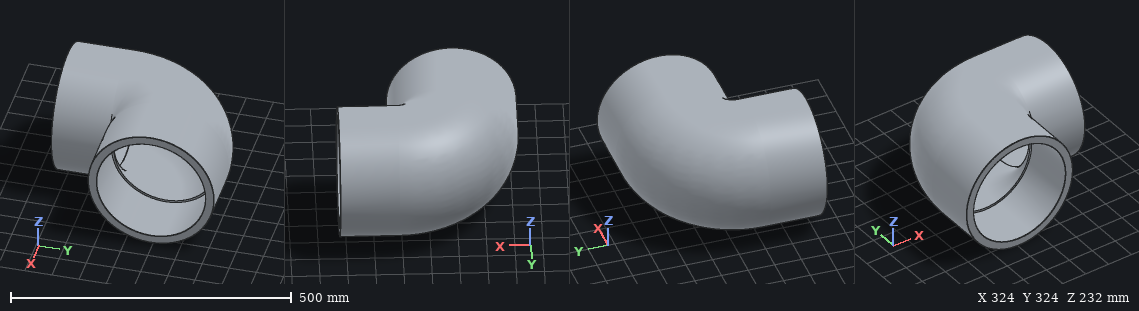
import cadquery as cq

overall_length = 324.0
outer_diameter = 232.0
socket_length = 106.2
socket_diameter = 200.0
socket_depth = 104.3
bore_diameter = 192.5
rim_chamfer = 0.5

outer_radius = outer_diameter / 2
bend_outer_radius = overall_length - socket_length
bend_radius = bend_outer_radius - outer_radius

end_distance = overall_length - outer_radius


def leg_pair(diameter, length):
    """Return two cylinders that run inward from the open ends."""
    x_leg = cq.Workplane("YZ", origin=(end_distance, 0, 0)).circle(diameter / 2).extrude(-length)
    y_leg = cq.Workplane("XZ", origin=(0, -end_distance, 0)).circle(diameter / 2).extrude(-length)
    return x_leg.union(y_leg)


def bend(diameter):
    """Return the quarter torus, with its section cut off at the bend axis."""
    clip = cq.Sketch().push([(-overall_length / 2, 0)]).rect(overall_length, overall_length).reset()
    section = cq.Sketch().push([(-bend_radius, 0)]).circle(diameter / 2).reset().face(clip, mode="i")
    return (
        cq.Workplane("XZ", origin=(bend_radius, -bend_radius, 0))
        .placeSketch(section)
        .revolve(90, (0, 0, 0), (0, -1, 0))
    )


body = bend(outer_diameter).union(leg_pair(outer_diameter, socket_length))

bore = bend(bore_diameter).union(leg_pair(bore_diameter, socket_length))
sockets = leg_pair(socket_diameter, socket_depth)

fitting = body.cut(bore).cut(sockets)

result = fitting.faces(">X or <Y").edges().chamfer(rim_chamfer)